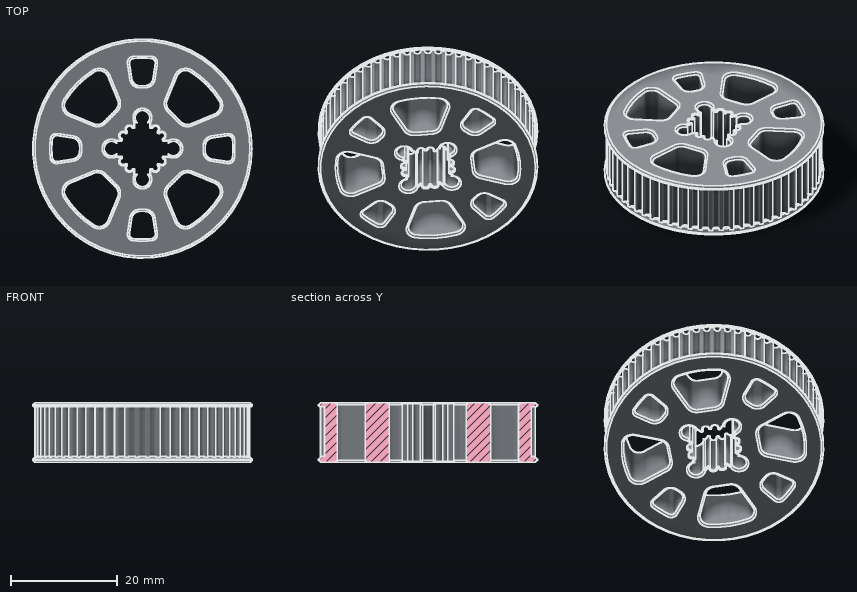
import cadquery as cq
import math

flange_radius = 41.03 / 2
height = 11.2
edge_chamfer = 0.4
rim_height = 0.2
bottom_flange_height = 1.2
top_flange_height = 0.8

tooth_count = 64
belt_pitch = 2.0
belt_line_offset = 0.254
tip_radius = tooth_count * belt_pitch / (2 * math.pi) - belt_line_offset
groove_mouth = (0.747, 0.0)
groove_lip_middle = (0.660, 0.030)
groove_lip_end = (0.598, 0.130)
groove_flank_middle = (0.547, 0.343)
groove_flank_end = (0.452, 0.540)
groove_floor = (0.0, 0.764)

quarters = 4
pocket_outer_radius = 33.87 / 2
large_pocket_direction = 45
large_pocket_inner_distance = 8.63
large_pocket_side_angle = 22.5
large_pocket_side_inset = 0.8
large_pocket_corner_radius = 1.75
small_pocket_inner_distance = 11.77
small_pocket_side_angle = 8.6
small_pocket_inner_corner_radius = 1.5
small_pocket_outer_corner_radius = 0.8

spline_positions = 16
spline_pitch_radius = 4.36
spline_tip_radius = 0.27
spline_chamfer = 0.2
slot_shoulder_distance = 4.84
lobe_center_distance = 5.78
lobe_radius = 1.36


def polar(radius, angle):
    return (radius * math.cos(angle), radius * math.sin(angle))


def turned(point, angle):
    """Point turned about the part's axis."""
    x, y = point
    cos, sin = math.cos(angle), math.sin(angle)
    return (x * cos - y * sin, x * sin + y * cos)


def toward(start, end, distance):
    """Point at a distance from start on the way to end."""
    share = distance / math.dist(start, end)
    return tuple(s + (e - s) * share for s, e in zip(start, end))


def flanged_core():
    """Turned core with square outer flange edges; each flange is bevelled toward the belt."""
    core_radius = tip_radius - groove_floor[1]
    bottom_rim_top = edge_chamfer + rim_height
    bottom_bevel = bottom_flange_height - bottom_rim_top
    top_flange_bottom = height - top_flange_height
    top_rim_bottom = height - edge_chamfer - rim_height
    top_bevel = top_rim_bottom - top_flange_bottom
    return (
        cq.Workplane("XZ")
        .lineTo(flange_radius, 0)
        .lineTo(flange_radius, bottom_rim_top)
        .lineTo(flange_radius - bottom_bevel, bottom_flange_height)
        .lineTo(core_radius, bottom_flange_height)
        .lineTo(core_radius, top_flange_bottom)
        .lineTo(flange_radius - top_bevel, top_flange_bottom)
        .lineTo(flange_radius, top_rim_bottom)
        .lineTo(flange_radius, height)
        .lineTo(0, height)
        .close()
        .revolve(360, (0, 0, 0), (0, 1, 0))
    )


def belt_teeth():
    """Ring of belt teeth, running from inside the bottom flange up to the top flange."""
    step = 2 * math.pi / tooth_count

    def groove_point(point, side, angle):
        half_width, depth = point
        return turned((tip_radius - depth, side * half_width), angle)

    outline = cq.Workplane("XY").moveTo(*groove_point(groove_mouth, -1, 0))
    for i in range(tooth_count):
        angle = i * step
        path = [
            (groove_lip_middle, -1),
            (groove_lip_end, -1),
            (groove_flank_middle, -1),
            (groove_flank_end, -1),
            (groove_floor, 1),
            (groove_flank_end, 1),
            (groove_flank_middle, 1),
            (groove_lip_end, 1),
            (groove_lip_middle, 1),
            (groove_mouth, 1),
        ]
        points = [groove_point(point, side, angle) for point, side in path]
        for middle, end in zip(points[0::2], points[1::2]):
            outline = outline.threePointArc(middle, end)
        tooth_tip = polar(tip_radius, angle + step / 2)
        outline = outline.threePointArc(tooth_tip, groove_point(groove_mouth, -1, angle + step))
    inside = pocket_outer_radius + edge_chamfer
    bottom = edge_chamfer + rim_height
    top = height - top_flange_height
    teeth = outline.close().extrude(top - bottom)
    bore = cq.Workplane("XY").circle(inside).extrude(top - bottom)
    return teeth.cut(bore).translate((0, 0, bottom))


def pocket(inner_distance, side_angle, side_inset, inner_corner, outer_corner):
    """Pocket along +X: straight inner side, two sloping sides and an arc as the outer side."""
    angle = math.radians(side_angle)
    middle = (inner_distance + pocket_outer_radius) / 2

    def half_width(x):
        return x * math.tan(angle) - side_inset / math.cos(angle)

    corners = [
        (inner_distance, half_width(inner_distance)),
        (flange_radius, half_width(flange_radius)),
        (flange_radius, -half_width(flange_radius)),
        (inner_distance, -half_width(inner_distance)),
    ]
    wedge = cq.Workplane("XY").polyline(corners).close().extrude(height)
    disc = cq.Workplane("XY").circle(pocket_outer_radius).extrude(height)
    blank = wedge.intersect(disc)
    blank = blank.edges("|Z").edges("<X").fillet(inner_corner)
    outer_edges = cq.selectors.BoxSelector(
        (middle, -flange_radius, 0), (flange_radius, flange_radius, height)
    )
    return blank.edges("|Z").edges(outer_edges).fillet(outer_corner)


def around(cutter, first_angle):
    """Four copies of a cutter, a quarter turn apart."""
    copies = [
        cutter.rotate((0, 0, 0), (0, 0, 1), first_angle + i * 360 / quarters).val()
        for i in range(quarters)
    ]
    return cq.Workplane(cq.Compound.makeCompound(copies))


def spline_outline():
    """Bore outline of tangent tip and valley arcs, with a straight slot on each axis."""
    step = 2 * math.pi / spline_positions
    teeth_per_quarter = spline_positions // quarters - 1
    half_chord = 2 * spline_pitch_radius * math.sin(step / 4)
    valley_radius = half_chord - spline_tip_radius
    slot_half_width = spline_pitch_radius * math.sin(step) - spline_tip_radius
    slot_wall_start = spline_pitch_radius * math.cos(step)

    outline = cq.Workplane("XY").moveTo(slot_shoulder_distance, -slot_half_width)
    for quarter in range(quarters):
        slot_angle = quarter * 2 * math.pi / quarters
        next_slot_angle = slot_angle + 2 * math.pi / quarters
        outline = outline.lineTo(*turned((slot_shoulder_distance, slot_half_width), slot_angle))
        outline = outline.lineTo(*turned((slot_wall_start, slot_half_width), slot_angle))
        for tooth in range(1, teeth_per_quarter + 1):
            tip_angle = slot_angle + tooth * step
            valley_angle = tip_angle + step / 2
            tip = polar(spline_pitch_radius, tip_angle)
            crest = polar(spline_pitch_radius - spline_tip_radius, tip_angle)
            if tooth == teeth_per_quarter:
                slot_wall_end = turned((slot_wall_start, -slot_half_width), next_slot_angle)
                outline = outline.threePointArc(crest, slot_wall_end)
                continue
            valley = polar(spline_pitch_radius, valley_angle)
            next_tip = polar(spline_pitch_radius, tip_angle + step)
            root = polar(spline_pitch_radius + valley_radius, valley_angle)
            outline = outline.threePointArc(crest, toward(tip, valley, spline_tip_radius))
            outline = outline.threePointArc(root, toward(next_tip, valley, spline_tip_radius))
        if quarter < quarters - 1:
            shoulder = (slot_shoulder_distance, -slot_half_width)
            outline = outline.lineTo(*turned(shoulder, next_slot_angle))
    return outline.close()


def spline_cutter():
    """Spline bore, flared at both ends so that its mouths come out chamfered."""
    disc_radius = large_pocket_inner_distance
    disc = cq.Workplane("XY").circle(disc_radius).extrude(height)
    splined_disc = disc.cut(spline_outline().extrude(height))
    mouth_edges = (
        splined_disc.faces("<Z or >Z").edges().filter(lambda edge: edge.Length() < disc_radius)
    )
    return disc.cut(mouth_edges.chamfer(spline_chamfer))


large_pocket = pocket(
    large_pocket_inner_distance,
    large_pocket_side_angle,
    large_pocket_side_inset,
    large_pocket_corner_radius,
    large_pocket_corner_radius,
)
small_pocket = pocket(
    small_pocket_inner_distance,
    small_pocket_side_angle,
    0,
    small_pocket_inner_corner_radius,
    small_pocket_outer_corner_radius,
)
lobe = cq.Workplane("XY").center(lobe_center_distance, 0).circle(lobe_radius).extrude(height)

body = (
    flanged_core()
    .cut(around(large_pocket, large_pocket_direction))
    .cut(around(small_pocket, 0))
    .cut(around(lobe, 0))
)
body = body.faces("<Z or >Z").edges().chamfer(edge_chamfer)
result = body.cut(spline_cutter()).union(belt_teeth())